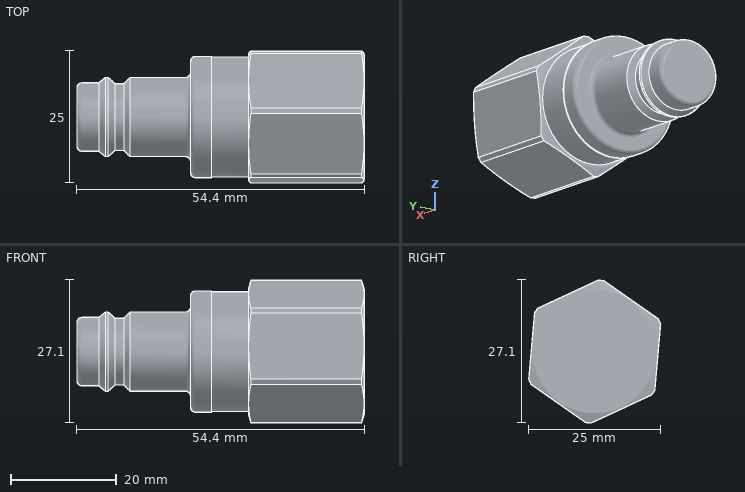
import cadquery as cq
import math

LENGTH = 54.4
RIDGE_START = 4.15
RIDGE_CREST_START = 5.4
RIDGE_CREST_END = 5.95
GROOVE_START = 7.25
GROOVE_END = 8.85
STEM_START = 10.05
COLLAR_START = 21.5
COLLAR_END = 25.45
HEX_START = 32.5

NOSE_DIAMETER = 13.0
GROOVE_DIAMETER = 12.7
STEM_DIAMETER = 15.0
COLLAR_DIAMETER = 23.0
NECK_DIAMETER = 22.75

EDGE_RADIUS = 1.0

HEX_ACROSS_FLATS = 24.0
HEX_CORNER_DIAMETER = 27.1
HEX_TILT = 5.0
FRONT_CHAMFER_DIAMETER = 23.95
FRONT_CHAMFER_LENGTH = 0.45
REAR_CHAMFER_DIAMETER = 23.4
REAR_CHAMFER_LENGTH = 0.55


def revolve_about_x(profile):
    """Turn a closed (x, radius) profile into a solid of revolution."""
    return profile.close().revolve(360, (0, 0, 0), (1, 0, 0))


def make_turned_body():
    """Nose, ridge, groove, stem, collar and neck, ending at the hexagon."""
    nose = NOSE_DIAMETER / 2
    groove = GROOVE_DIAMETER / 2
    stem = STEM_DIAMETER / 2
    collar = COLLAR_DIAMETER / 2
    neck = NECK_DIAMETER / 2
    profile = (
        cq.Workplane("XY")
        .lineTo(0, nose - EDGE_RADIUS)
        .radiusArc((EDGE_RADIUS, nose), EDGE_RADIUS)
        .lineTo(RIDGE_START, nose)
        .lineTo(RIDGE_CREST_START, stem)
        .lineTo(RIDGE_CREST_END, stem)
        .lineTo(GROOVE_START, groove)
        .lineTo(GROOVE_END, groove)
        .lineTo(STEM_START, stem)
        .lineTo(COLLAR_START - EDGE_RADIUS, stem)
        .radiusArc((COLLAR_START, stem + EDGE_RADIUS), -EDGE_RADIUS)
        .lineTo(COLLAR_START, collar - EDGE_RADIUS)
        .radiusArc((COLLAR_START + EDGE_RADIUS, collar), EDGE_RADIUS)
        .lineTo(COLLAR_END, collar)
        .lineTo(COLLAR_END, neck)
        .lineTo(HEX_START, neck)
        .lineTo(HEX_START, 0)
    )
    return revolve_about_x(profile)


def make_hexagon():
    """Tilted hexagon with turned corners and conical end chamfers."""
    corner = HEX_CORNER_DIAMETER / 2
    sharp_corner_diameter = HEX_ACROSS_FLATS / math.cos(math.radians(30))
    prism = (
        cq.Workplane("YZ", origin=(HEX_START, 0, 0))
        .polygon(6, sharp_corner_diameter)
        .extrude(LENGTH - HEX_START)
        .rotate((0, 0, 0), (1, 0, 0), 90 - HEX_TILT)
    )
    envelope = (
        cq.Workplane("XY")
        .moveTo(HEX_START, 0)
        .lineTo(HEX_START, FRONT_CHAMFER_DIAMETER / 2)
        .lineTo(HEX_START + FRONT_CHAMFER_LENGTH, corner)
        .lineTo(LENGTH - REAR_CHAMFER_LENGTH, corner)
        .lineTo(LENGTH, REAR_CHAMFER_DIAMETER / 2)
        .lineTo(LENGTH, 0)
    )
    return prism.intersect(revolve_about_x(envelope))


result = make_turned_body().union(make_hexagon())